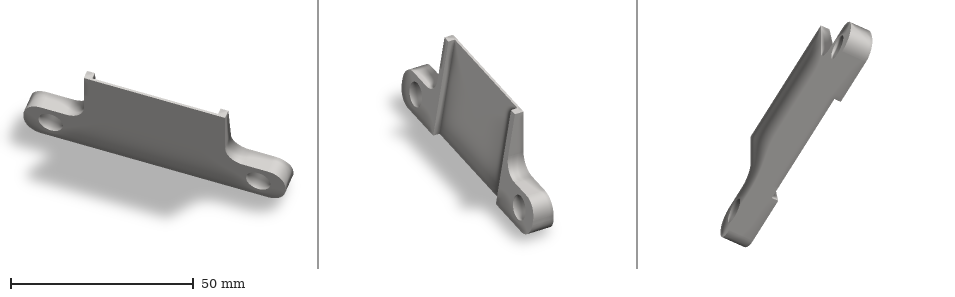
import cadquery as cq

length = 76.0
height = 30.0
base_depth = 7.4
top_depth = 2.65

upper_width = 41.05
tab_height = 11.4
corner_radius = 5.0

hole_diameter = 7.1
hole_spacing = 60.3
hole_height = 6.0

channel_width = 36.5
channel_depth = 2.0


def silhouette():
    """Upright panel with a rounded tab on each side."""
    tabs = (
        cq.Workplane("XY")
        .box(length, base_depth, tab_height, centered=(True, False, False))
        .edges("|Y")
        .fillet(corner_radius)
    )
    panel = cq.Workplane("XY").box(upper_width, base_depth, height, centered=(True, False, False))
    inner_corners = cq.selectors.BoxSelector(
        (-upper_width / 2 - 0.75, -0.75, tab_height - 0.75),
        (upper_width / 2 + 0.75, base_depth + 0.75, tab_height + 0.75),
    )
    return tabs.union(panel).edges("|Y").edges(inner_corners).fillet(corner_radius)


def wedge(width, inset):
    """Sloped profile along X, with its back face moved in by inset."""
    return (
        cq.Workplane("YZ")
        .polyline([(0, 0), (base_depth - inset, 0), (top_depth - inset, height), (0, height)])
        .close()
        .extrude(width / 2, both=True)
    )


def mounting_holes():
    """Through holes along Y."""
    return (
        cq.Workplane("XZ")
        .pushPoints([(side * hole_spacing / 2, hole_height) for side in (-1, 1)])
        .circle(hole_diameter / 2)
        .extrude(-base_depth)
    )


channel = wedge(channel_width, 0).cut(wedge(channel_width, channel_depth))
result = silhouette().intersect(wedge(length, 0)).cut(channel).cut(mounting_holes())